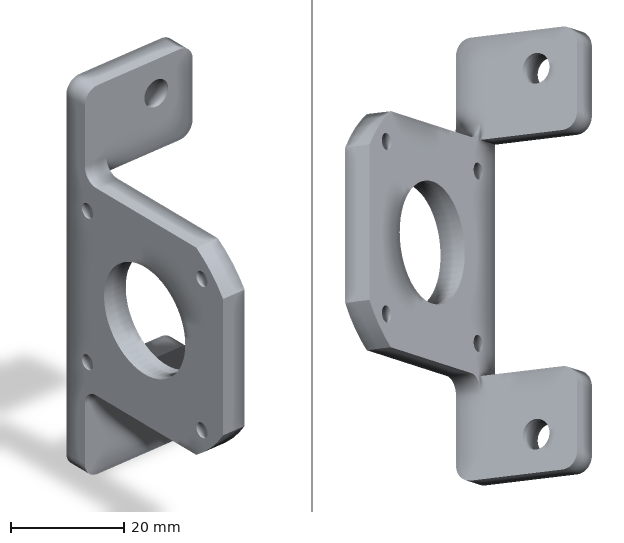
import cadquery as cq
import math

bracket_height = 79.65
bracket_depth = 25.0
plate_width = 42.45
thickness = 5.0
corner_radius = 3.0

center_x = plate_width / 2
half_plate = plate_width / 2
end_radius = 25.4
bore_diameter = 22.0
screw_pitch = 31.0
screw_diameter = 3.0

tab_hole_diameter = 5.5
tab_hole_y = 16.6
tab_hole_inset = 6.9


def make_wall():
    """Upright wall in the YZ plane, notched behind the motor plate to leave two tabs."""
    wall = (
        cq.Workplane("XY")
        .box(thickness, bracket_depth, bracket_height, centered=(False, False, True))
    )
    notch_depth = bracket_depth - thickness
    notch = (
        cq.Workplane("XY")
        .box(thickness, notch_depth, plate_width, centered=(False, False, True))
        .translate((0, thickness, 0))
    )
    wall = (
        wall.cut(notch)
        .edges("|X and (>Y or <Y)")
        .fillet(corner_radius)
    )
    hole_z = bracket_height / 2 - tab_hole_inset
    holes = (
        cq.Workplane("YZ")
        .pushPoints([(tab_hole_y, hole_z), (tab_hole_y, -hole_z)])
        .circle(tab_hole_diameter / 2)
        .extrude(thickness)
    )
    return wall.cut(holes)


def make_plate():
    """Motor plate with arc-cut free corners and concave fillets where it meets the wall."""
    arc_offset = math.sqrt(end_radius**2 - half_plate**2)
    arc_mid = end_radius / math.sqrt(2)
    fillet_mid = corner_radius * (1 - 1 / math.sqrt(2))
    fillet_top = half_plate + corner_radius
    fillet_end = thickness + corner_radius
    outline = (
        cq.Workplane("XZ")
        .moveTo(0, -fillet_top)
        .lineTo(thickness, -fillet_top)
        .threePointArc(
            (thickness + fillet_mid, -half_plate - fillet_mid), (fillet_end, -half_plate)
        )
        .lineTo(center_x + arc_offset, -half_plate)
        .threePointArc((center_x + arc_mid, -arc_mid), (plate_width, -arc_offset))
        .lineTo(plate_width, arc_offset)
        .threePointArc((center_x + arc_mid, arc_mid), (center_x + arc_offset, half_plate))
        .lineTo(fillet_end, half_plate)
        .threePointArc(
            (thickness + fillet_mid, half_plate + fillet_mid), (thickness, fillet_top)
        )
        .lineTo(0, fillet_top)
        .close()
    )
    return outline.extrude(-thickness)


def make_motor_holes():
    """Central bore and the four screw holes around it."""
    face = cq.Workplane("XZ").center(center_x, 0)
    bore = face.circle(bore_diameter / 2).extrude(-thickness)
    screws = (
        face.rect(screw_pitch, screw_pitch, forConstruction=True)
        .vertices()
        .circle(screw_diameter / 2)
        .extrude(-thickness)
    )
    return bore.union(screws)


result = make_wall().union(make_plate()).cut(make_motor_holes())